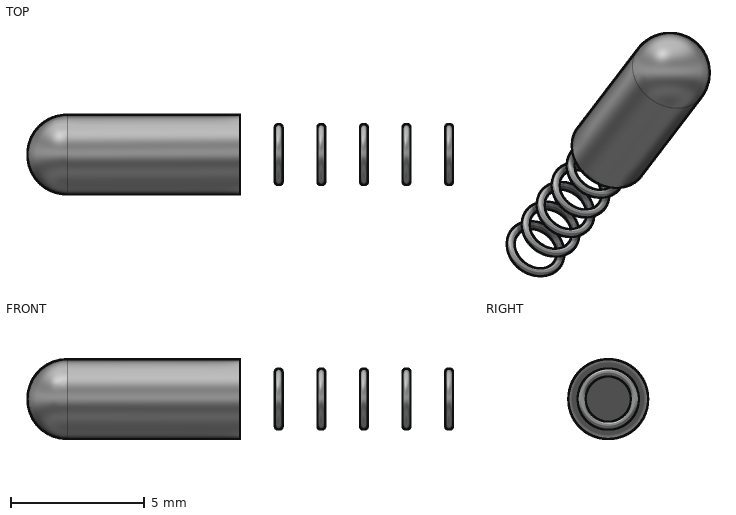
import cadquery as cq

overall_length = 16.0
pin_diameter = 3.0
pin_length = 8.0
ring_outer_diameter = 2.3
ring_wire_diameter = 0.3
ring_count = 5
ring_pitch = 1.6

pin_radius = pin_diameter / 2
ring_wire_radius = ring_wire_diameter / 2
ring_center_radius = ring_outer_diameter / 2 - ring_wire_radius
last_ring_x = overall_length - ring_wire_radius
first_ring_x = last_ring_x - (ring_count - 1) * ring_pitch


def make_pin():
    """Round pin along X with a hemispherical nose at the origin and a flat rear end."""
    shank = cq.Workplane("YZ", origin=(pin_radius, 0, 0)).circle(pin_radius).extrude(pin_length - pin_radius)
    nose = cq.Workplane("XY", origin=(pin_radius, 0, 0)).sphere(pin_radius)
    return shank.union(nose)


def make_ring(center_x):
    """Round-wire ring around the X axis, centred at center_x."""
    return cq.Solid.makeTorus(
        ring_center_radius,
        ring_wire_radius,
        cq.Vector(center_x, 0, 0),
        cq.Vector(1, 0, 0),
    )


pin = make_pin()
rings = [make_ring(first_ring_x + index * ring_pitch) for index in range(ring_count)]

result = cq.Compound.makeCompound([pin.val(), *rings])